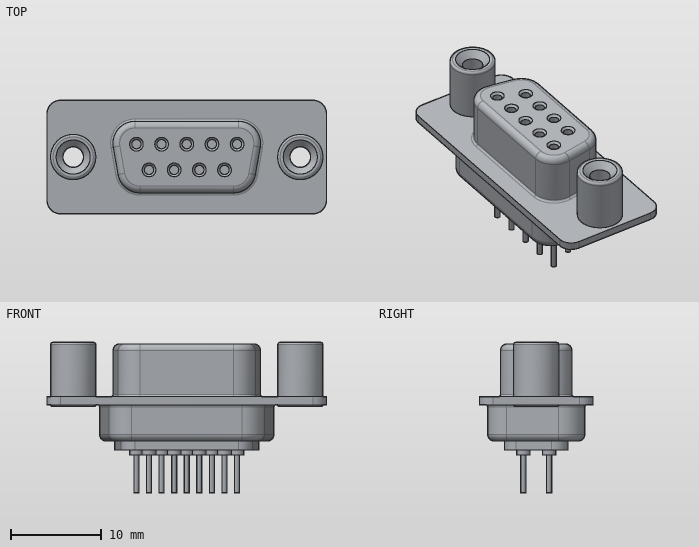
import cadquery as cq
import math

PLATE_LENGTH = 30.8
PLATE_WIDTH = 12.55
PLATE_THICKNESS = 0.9
PLATE_CORNER_RADIUS = 1.5

SIDE_TILT = math.radians(10)
UPPER_HALF_LENGTH = 8.13
UPPER_HALF_WIDTH = 3.95
UPPER_CORNER_RADIUS = 2.43
UPPER_TOP_Z = 5.82
LOWER_HALF_LENGTH = 9.6
LOWER_HALF_WIDTH = 5.35
LOWER_CORNER_RADIUS = 2.5
LOWER_BOTTOM_Z = -4.9
RIM_RADIUS = 0.75
BASE_RADIUS = 0.25
SELECTION_MARGIN = 0.03

INSULATOR_HALF_LENGTH = 7.95
INSULATOR_HALF_WIDTH = 3.5
INSULATOR_CORNER_RADIUS = 1.55
INSULATOR_BOTTOM_Z = -5.9

CONTACT_PITCH = 2.77
ROW_SPACING = 2.83
CONTACTS_IN_ROW = {ROW_SPACING / 2: 5, -ROW_SPACING / 2: 4}
SOCKET_MOUTH_DIAMETER = 1.5
SOCKET_DIAMETER = 1.02
SOCKET_DEPTH = 1.55
SOCKET_MOUTH_DEPTH = (SOCKET_MOUTH_DIAMETER - SOCKET_DIAMETER) / 2
COLLAR_DIAMETER = 1.5
COLLAR_BOTTOM_Z = -6.45
PIN_DIAMETER = 0.6
PIN_BOTTOM_Z = -10.6

POST_SPACING = 25.02
POST_DIAMETER = 5.0
POST_TOP_Z = 6.0
POST_FOOT = 0.2
POST_TOP_RADIUS = 0.28
POST_FOOT_RADIUS = 0.17
POST_BORE_DIAMETER = 2.25
COUNTERSINK_DIAMETER = 3.75
COUNTERSINK_DEPTH = (COUNTERSINK_DIAMETER - POST_BORE_DIAMETER) / 2


def polar(center, radius, angle):
    """Point at the given angle on a circle."""
    return (center[0] + radius * math.cos(angle), center[1] + radius * math.sin(angle))


def mirrored(point):
    """Point reflected across the YZ plane."""
    return (-point[0], point[1])


def d_body(half_length, half_width, radius, start_z, end_z):
    """Prism with a rounded D outline, narrower toward -Y."""
    corner_y = half_width - radius
    back = (half_length - radius, corner_y)
    front = (back[0] - 2 * corner_y * math.tan(SIDE_TILT), -corner_y)

    back_top = polar(back, radius, math.pi / 2)
    back_middle = polar(back, radius, (math.pi / 2 - SIDE_TILT) / 2)
    back_side = polar(back, radius, -SIDE_TILT)
    front_side = polar(front, radius, -SIDE_TILT)
    front_middle = polar(front, radius, -(math.pi / 2 + SIDE_TILT) / 2)
    front_bottom = polar(front, radius, -math.pi / 2)

    return (
        cq.Workplane("XY", origin=(0, 0, start_z))
        .moveTo(*mirrored(back_top))
        .lineTo(*back_top)
        .threePointArc(back_middle, back_side)
        .lineTo(*front_side)
        .threePointArc(front_middle, front_bottom)
        .lineTo(*mirrored(front_bottom))
        .threePointArc(mirrored(front_middle), mirrored(front_side))
        .lineTo(*mirrored(back_side))
        .threePointArc(mirrored(back_middle), mirrored(back_top))
        .close()
        .extrude(end_z - start_z)
    )


def cylinders(points, diameter, start_z, end_z):
    """Equal upright cylinders at the given XY points."""
    return (
        cq.Workplane("XY", origin=(0, 0, start_z))
        .pushPoints(points)
        .circle(diameter / 2)
        .extrude(end_z - start_z)
    )


def cone_cutters(points, top_diameter, bottom_diameter, depth, top_z):
    """Downward-narrowing cones whose wide ends lie at top_z."""
    cone = cq.Solid.makeCone(top_diameter / 2, bottom_diameter / 2, depth, dir=cq.Vector(0, 0, -1))
    return cq.Workplane("XY", origin=(0, 0, top_z)).pushPoints(points).eachpoint(cone, True)


def contact_points():
    """Contact centers of both rows, each row centered on X = 0."""
    return [
        ((i - (count - 1) / 2) * CONTACT_PITCH, row_y)
        for row_y, count in CONTACTS_IN_ROW.items()
        for i in range(count)
    ]


def base_edges(z):
    """Selector for the edges where a D body meets the plate face at z."""
    reach_x = LOWER_HALF_LENGTH + BASE_RADIUS
    reach_y = LOWER_HALF_WIDTH + BASE_RADIUS
    low_corner = (-reach_x, -reach_y, z - SELECTION_MARGIN)
    high_corner = (reach_x, reach_y, z + SELECTION_MARGIN)
    return cq.selectors.BoxSelector(low_corner, high_corner)


def make_shell():
    """Plate with the upper and lower shells blended into it."""
    plate = (
        cq.Workplane("XY", origin=(0, 0, -PLATE_THICKNESS))
        .rect(PLATE_LENGTH, PLATE_WIDTH)
        .extrude(PLATE_THICKNESS)
        .edges("|Z")
        .fillet(PLATE_CORNER_RADIUS)
    )
    upper = d_body(UPPER_HALF_LENGTH, UPPER_HALF_WIDTH, UPPER_CORNER_RADIUS, 0, UPPER_TOP_Z)
    lower = d_body(
        LOWER_HALF_LENGTH, LOWER_HALF_WIDTH, LOWER_CORNER_RADIUS, LOWER_BOTTOM_Z, -PLATE_THICKNESS
    )
    shell = plate.union(upper.faces(">Z").edges().fillet(RIM_RADIUS))
    shell = shell.union(lower.faces("<Z").edges().fillet(RIM_RADIUS))
    shell = shell.edges(base_edges(0)).fillet(BASE_RADIUS)
    return shell.edges(base_edges(-PLATE_THICKNESS)).fillet(BASE_RADIUS)


def add_contacts(body):
    """Insulator block and pins below, sockets in the top face."""
    points = contact_points()
    insulator = d_body(
        INSULATOR_HALF_LENGTH,
        INSULATOR_HALF_WIDTH,
        INSULATOR_CORNER_RADIUS,
        INSULATOR_BOTTOM_Z,
        LOWER_BOTTOM_Z,
    )
    collars = cylinders(points, COLLAR_DIAMETER, COLLAR_BOTTOM_Z, INSULATOR_BOTTOM_Z)
    pins = cylinders(points, PIN_DIAMETER, PIN_BOTTOM_Z, COLLAR_BOTTOM_Z)
    sockets = cylinders(points, SOCKET_DIAMETER, UPPER_TOP_Z - SOCKET_DEPTH, UPPER_TOP_Z)
    mouths = cone_cutters(
        points, SOCKET_MOUTH_DIAMETER, SOCKET_DIAMETER, SOCKET_MOUTH_DEPTH, UPPER_TOP_Z
    )
    return body.union(insulator).union(collars).union(pins).cut(sockets).cut(mouths)


def add_posts(body):
    """Posts passing through the plate, bored through and countersunk on top."""
    points = [(-POST_SPACING / 2, 0), (POST_SPACING / 2, 0)]
    foot_z = -PLATE_THICKNESS - POST_FOOT
    posts = cylinders(points, POST_DIAMETER, foot_z, POST_TOP_Z)
    posts = posts.faces(">Z").edges().fillet(POST_TOP_RADIUS)
    posts = posts.faces("<Z").edges().fillet(POST_FOOT_RADIUS)
    bores = cylinders(points, POST_BORE_DIAMETER, foot_z, POST_TOP_Z)
    countersinks = cone_cutters(
        points, COUNTERSINK_DIAMETER, POST_BORE_DIAMETER, COUNTERSINK_DEPTH, POST_TOP_Z
    )
    return body.union(posts).cut(bores).cut(countersinks)


result = add_posts(add_contacts(make_shell()))